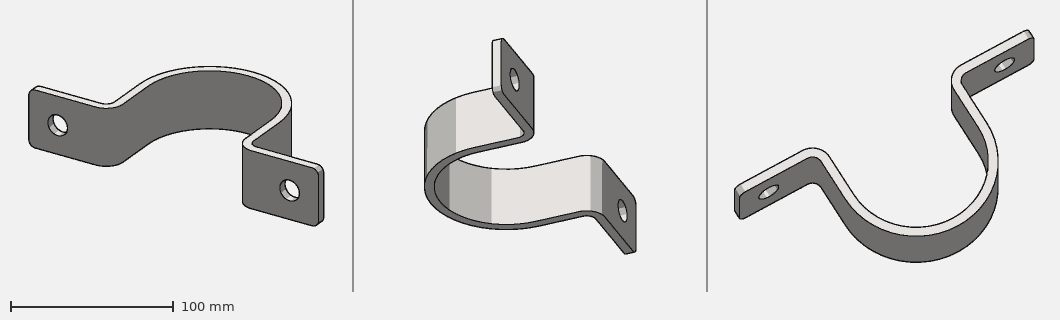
import cadquery as cq

length = 210.0
depth = 92.0
width = 40.0
thickness = 6.0
arch_outer_radius = 50.5
bend_inner_radius = 6.0
corner_radius = 4.8
hole_diameter = 14.0
hole_spacing = 168.0

half_length = length / 2
arch_inner_radius = arch_outer_radius - thickness
bend_outer_radius = bend_inner_radius + thickness
arch_center_y = depth - arch_outer_radius
bend_center_x = arch_outer_radius + bend_inner_radius


def arch_blank(outer_radius, bottom_y):
    """U-shaped solid: a half disc on legs reaching down to bottom_y."""
    return (
        cq.Workplane("XY")
        .moveTo(-outer_radius, bottom_y)
        .lineTo(-outer_radius, arch_center_y)
        .threePointArc((0, arch_center_y + outer_radius), (outer_radius, arch_center_y))
        .lineTo(outer_radius, bottom_y)
        .close()
        .extrude(width)
    )


def foot(side):
    """Bend and flat flange on one side; side is -1 or 1."""
    diagonal = 0.5 ** 0.5
    outer_mid_x = bend_center_x - bend_outer_radius * diagonal
    outer_mid_y = bend_outer_radius * (1 - diagonal)
    inner_mid_x = bend_center_x - bend_inner_radius * diagonal
    inner_mid_y = bend_outer_radius - bend_inner_radius * diagonal
    flange = (
        cq.Workplane("XY")
        .moveTo(side * half_length, 0)
        .lineTo(side * bend_center_x, 0)
        .threePointArc(
            (side * outer_mid_x, outer_mid_y),
            (side * arch_inner_radius, bend_outer_radius),
        )
        .lineTo(side * arch_outer_radius, bend_outer_radius)
        .threePointArc(
            (side * inner_mid_x, inner_mid_y),
            (side * bend_center_x, thickness),
        )
        .lineTo(side * half_length, thickness)
        .close()
        .extrude(width)
    )
    end_face = ">X" if side > 0 else "<X"
    return flange.faces(end_face).edges("|Y").fillet(corner_radius)


arch = arch_blank(arch_outer_radius, bend_outer_radius).cut(
    arch_blank(arch_inner_radius, bend_outer_radius)
)
strap = arch.union(foot(-1)).union(foot(1))

bolt_holes = (
    cq.Workplane("XZ")
    .pushPoints([(side * hole_spacing / 2, width / 2) for side in (-1, 1)])
    .circle(hole_diameter / 2)
    .extrude(-thickness)
)

result = strap.cut(bolt_holes)